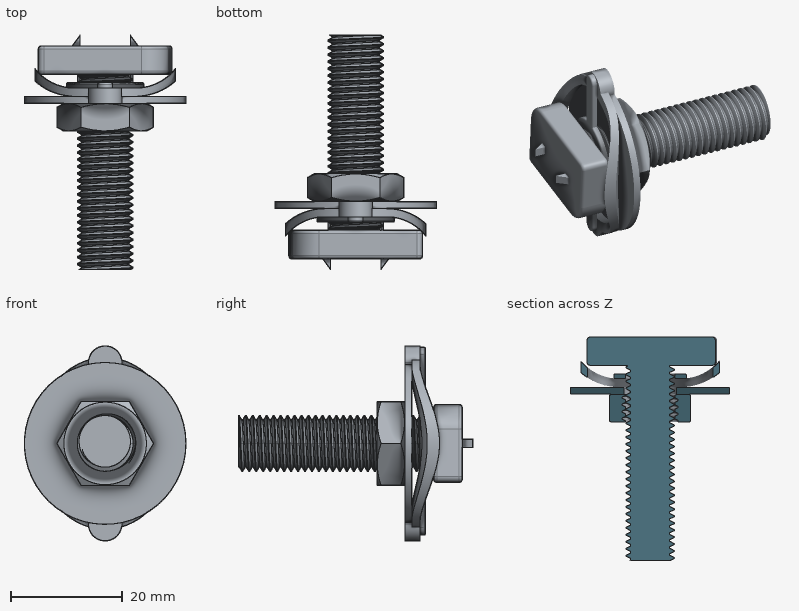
import cadquery as cq
import math


stud_radius = 5.0
thread_pitch = 1.25
flank_slope = math.tan(math.radians(30))
crest_flat = thread_pitch / 8
thread_depth = 0.74

washer_thickness = 1.25
spring_thickness = 1.5
retainer_thickness = 0.95
spring_seat_y = washer_thickness
retainer_seat_y = spring_seat_y + spring_thickness
retainer_top_y = retainer_seat_y + retainer_thickness
head_bottom_y = 5.15
head_top_y = 10.3
clip_tip_y = 12.2
stud_end_y = -29.8

head_half_width = 7.0
head_half_length = 12.08
head_end_slant = 4.5
head_small_radius = 1.0
head_large_radius = 4.8
head_edge_fillet = 0.6
stud_thread_lead = 2.15

nut_height = 5.0
nut_across_flats = 15.0
nut_chamfer_radius = 7.4
nut_chamfer_angle = 30.0
nut_thread_depth = 0.5
nut_thread_lead = 2.38

washer_radius = 14.5
washer_bore_radius = 5.25

spring_half_x = 12.6
spring_half_z = 15.4
spring_hole_half_x = 11.4
spring_hole_half_z = 13.3
spring_flat_half = 5.5
spring_inner_bend = 9.0
spring_outer_bend = spring_inner_bend + spring_thickness
tab_radius = 3.0
tab_center_z = 14.48

retainer_radius = 6.95
retainer_edge_fillet = 0.3
arm_half_width = 1.34
upper_arm_reach = 15.9
lower_arm_reach = 15.1

clip_inner_x = 4.5
clip_outer_x = 5.0
clip_hook_x = 5.9
clip_width = 1.5


def plane_at(y):
    """Sketch plane facing +Y: its local x is X and its local y is -Z."""
    return cq.Workplane(cq.Plane(origin=(0, y, 0), xDir=(1, 0, 0), normal=(0, 1, 0)))


def thread_rod(crest_radius, root_radius, crest_y, turns):
    """Right-handed threaded rod about Y, built turn by turn; a crest passes +X at crest_y.

    Both ends are helical ramps one pitch high, to be trimmed off by the caller.
    """
    flank_height = (crest_radius - root_radius) * flank_slope
    profile = [
        (crest_radius, 0),
        (crest_radius, crest_flat),
        (root_radius, crest_flat + flank_height),
        (root_radius, thread_pitch - flank_height),
        (crest_radius, thread_pitch),
    ]
    rod_length = turns * thread_pitch

    def one_turn(radius, height):
        return cq.Wire.makeHelix(thread_pitch, thread_pitch, radius, center=cq.Vector(0, 0, height))

    def axis_point(height):
        return cq.Vector(0, 0, height)

    def end_ramp(height):
        axis_edge = cq.Edge.makeLine(axis_point(height), axis_point(height + thread_pitch))
        axis_wire = cq.Wire.assembleEdges([axis_edge])
        return cq.Face.makeRuledSurface(axis_wire, one_turn(crest_radius, height))

    def end_step(height):
        outline = [cq.Vector(radius, 0, height + rise) for radius, rise in profile]
        corners = [axis_point(height), *outline, axis_point(height + thread_pitch)]
        return cq.Face.makeFromWires(cq.Wire.makePolygon(corners, close=True))

    faces = []
    for height in (0, rod_length):
        faces += [end_ramp(height), end_step(height)]
    for turn in range(turns):
        base = turn * thread_pitch
        for (lower_radius, lower_rise), (upper_radius, upper_rise) in zip(profile, profile[1:]):
            lower_edge = one_turn(lower_radius, base + lower_rise)
            upper_edge = one_turn(upper_radius, base + upper_rise)
            faces.append(cq.Face.makeRuledSurface(lower_edge, upper_edge))
    rod = cq.Workplane(cq.Solid.makeSolid(cq.Shell.makeShell(faces)))
    return rod.rotate((0, 0, 0), (1, 0, 0), -90).translate((0, crest_y - crest_flat / 2, 0))


def turns_to_cover(length):
    """Whole turns that cover a length after both end ramps are trimmed off, with one turn to spare."""
    return math.ceil(length / thread_pitch) + 3


def make_stud():
    stud_length = head_bottom_y - stud_end_y
    rod = thread_rod(
        stud_radius,
        stud_radius - thread_depth,
        stud_end_y - stud_thread_lead,
        turns_to_cover(stud_length),
    )
    trim = plane_at(stud_end_y).circle(2 * stud_radius).extrude(stud_length)
    return rod.intersect(trim)


def make_head():
    short_half_length = head_half_length - 2 * head_half_width * math.tan(math.radians(head_end_slant))
    sharp_corners = [
        (head_half_length, head_half_width),
        (short_half_length, -head_half_width),
        (-head_half_length, -head_half_width),
        (-short_half_length, head_half_width),
    ]
    head = plane_at(head_bottom_y).polyline(sharp_corners).close().extrude(head_top_y - head_bottom_y)
    head = head.edges("|Y").edges("not (>X or <X)").fillet(head_large_radius)
    head = head.edges("|Y").edges(">X or <X").fillet(head_small_radius)
    return head.faces("<Y or >Y").edges().fillet(head_edge_fillet)


def make_clip(side):
    """Leg through the head with an outward hook on top; side is +1 for +X and -1 for -X."""
    return (
        cq.Workplane("XY")
        .moveTo(side * clip_inner_x, retainer_top_y)
        .lineTo(side * clip_outer_x, retainer_top_y)
        .lineTo(side * clip_outer_x, head_top_y)
        .lineTo(side * clip_hook_x, head_top_y)
        .lineTo(side * clip_inner_x, clip_tip_y)
        .close()
        .extrude(clip_width / 2, both=True)
    )


def make_nut():
    corner_radius = nut_across_flats / math.sqrt(3)
    chamfer_height = (corner_radius - nut_chamfer_radius) * math.tan(math.radians(nut_chamfer_angle))
    hexagon = plane_at(-nut_height).polygon(6, 2 * corner_radius).extrude(nut_height)
    chamfered_blank = (
        cq.Workplane("XY")
        .moveTo(0, 0)
        .lineTo(nut_chamfer_radius, 0)
        .lineTo(corner_radius, -chamfer_height)
        .lineTo(corner_radius, chamfer_height - nut_height)
        .lineTo(nut_chamfer_radius, -nut_height)
        .lineTo(0, -nut_height)
        .close()
        .revolve(360, (0, 0, 0), (0, 1, 0))
    )
    threaded_bore = thread_rod(
        stud_radius + nut_thread_depth,
        stud_radius,
        -nut_height - nut_thread_lead,
        turns_to_cover(nut_height + nut_thread_lead),
    )
    return hexagon.intersect(chamfered_blank).cut(threaded_bore)


def make_washer():
    return plane_at(0).circle(washer_radius).circle(washer_bore_radius).extrude(washer_thickness)


def make_spring():
    def bend_rise(radius, run):
        return radius - math.sqrt(radius**2 - run**2)

    def bend_point(radius, base_y, run):
        return (spring_flat_half + run, base_y + bend_rise(radius, run))

    bend_run = spring_half_x - spring_flat_half
    right_half = (
        cq.Workplane("XY")
        .moveTo(0, spring_seat_y)
        .lineTo(spring_flat_half, spring_seat_y)
        .threePointArc(
            bend_point(spring_outer_bend, spring_seat_y, bend_run / 2),
            bend_point(spring_outer_bend, spring_seat_y, bend_run),
        )
        .lineTo(*bend_point(spring_inner_bend, retainer_seat_y, bend_run))
        .threePointArc(
            bend_point(spring_inner_bend, retainer_seat_y, bend_run / 2),
            (spring_flat_half, retainer_seat_y),
        )
        .lineTo(0, retainer_seat_y)
        .close()
        .extrude(spring_half_z, both=True)
    )
    sheet = right_half.union(right_half.mirror("YZ"))
    oval_ring = (
        plane_at(0)
        .ellipse(spring_half_x, spring_half_z)
        .ellipse(spring_hole_half_x, spring_hole_half_z)
        .extrude(head_top_y)
    )
    tabs = (
        plane_at(0)
        .pushPoints([(0, tab_center_z), (0, -tab_center_z)])
        .circle(tab_radius)
        .extrude(retainer_seat_y)
        .union(plane_at(0).rect(2 * tab_radius, 2 * tab_center_z).extrude(retainer_seat_y))
        .cut(plane_at(0).circle(washer_radius).extrude(retainer_seat_y))
    )
    return sheet.intersect(oval_ring).union(tabs)


def make_retainer():
    disc = plane_at(retainer_seat_y).circle(retainer_radius).extrude(retainer_thickness)
    arms = (
        plane_at(retainer_seat_y)
        .center(0, (lower_arm_reach - upper_arm_reach) / 2)
        .slot2D(lower_arm_reach + upper_arm_reach + 2 * arm_half_width, 2 * arm_half_width, 90)
        .extrude(retainer_thickness)
    )
    body = disc.union(arms).faces(">Y").edges().fillet(retainer_edge_fillet)
    return body.cut(plane_at(retainer_seat_y).circle(stud_radius).extrude(retainer_thickness))


clips = [make_clip(side) for side in (1, -1)]
bolt = make_stud().union(make_head())
for clip in clips:
    bolt = bolt.cut(clip)
nut = make_nut()
washer = make_washer()
spring = make_spring()
retainer = make_retainer()

result = cq.Compound.makeCompound(
    [bolt.val(), nut.val(), washer.val(), spring.val(), retainer.val(), *[clip.val() for clip in clips]]
)